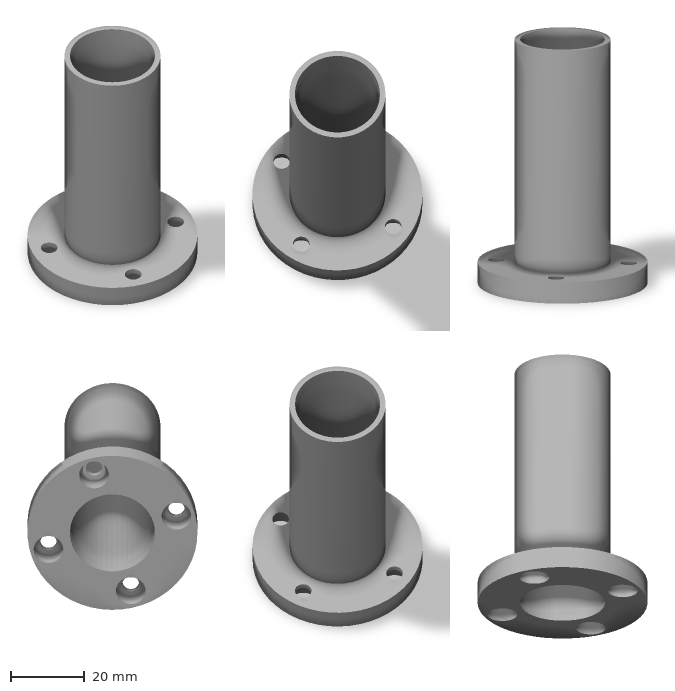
import cadquery as cq

total_height = 68.0
flange_diameter = 46.0
flange_thickness = 6.0

tube_diameter = 26.0
bore_diameter = 23.0

hole_count = 4
hole_diameter = 4.5
hole_circle_diameter = 36.0
first_hole_angle = 45
counterbore_diameter = 8.0
counterbore_depth = 4.4


def make_flange():
    """Round base flange with its bottom face at Z = 0."""
    return cq.Workplane("XY").circle(flange_diameter / 2).extrude(flange_thickness)


def make_tube():
    """Upright cylinder running the full height of the part."""
    return cq.Workplane("XY").circle(tube_diameter / 2).extrude(total_height)


def make_bore():
    """Central passage through tube and flange."""
    return cq.Workplane("XY").circle(bore_diameter / 2).extrude(total_height)


def make_hole_ring(diameter, depth):
    """Evenly spaced cylinders on the hole circle, rising from the flange bottom."""
    return (
        cq.Workplane("XY")
        .polarArray(hole_circle_diameter / 2, first_hole_angle, 360, hole_count)
        .circle(diameter / 2)
        .extrude(depth)
    )


through_holes = make_hole_ring(hole_diameter, flange_thickness)
counterbores = make_hole_ring(counterbore_diameter, counterbore_depth)

result = make_flange().union(make_tube()).cut(make_bore())
result = result.cut(through_holes).cut(counterbores)